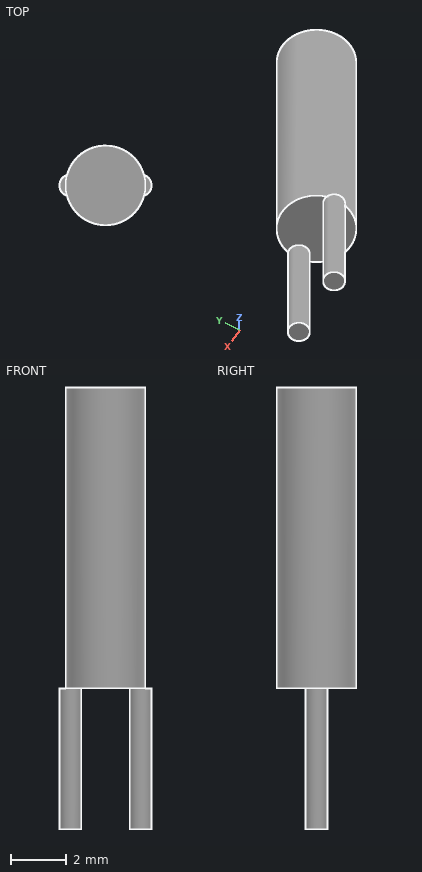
import cadquery as cq

total_height = 16.0
body_diameter = 2.9
lead_diameter = 0.8
lead_length = 5.1
lead_pitch = 2.55

body_height = total_height - lead_length


def make_body():
    """Cylindrical housing standing on the XY plane."""
    return cq.Workplane("XY").circle(body_diameter / 2).extrude(body_height)


def make_lead(x):
    """Round lead hanging from the housing's flat base at the given X."""
    return cq.Workplane("XY").center(x, 0).circle(lead_diameter / 2).extrude(-lead_length)


body = make_body()

leads = [make_lead(side * lead_pitch / 2) for side in (-1, 1)]

result = cq.Compound.makeCompound([body.val(), *[lead.val() for lead in leads]])